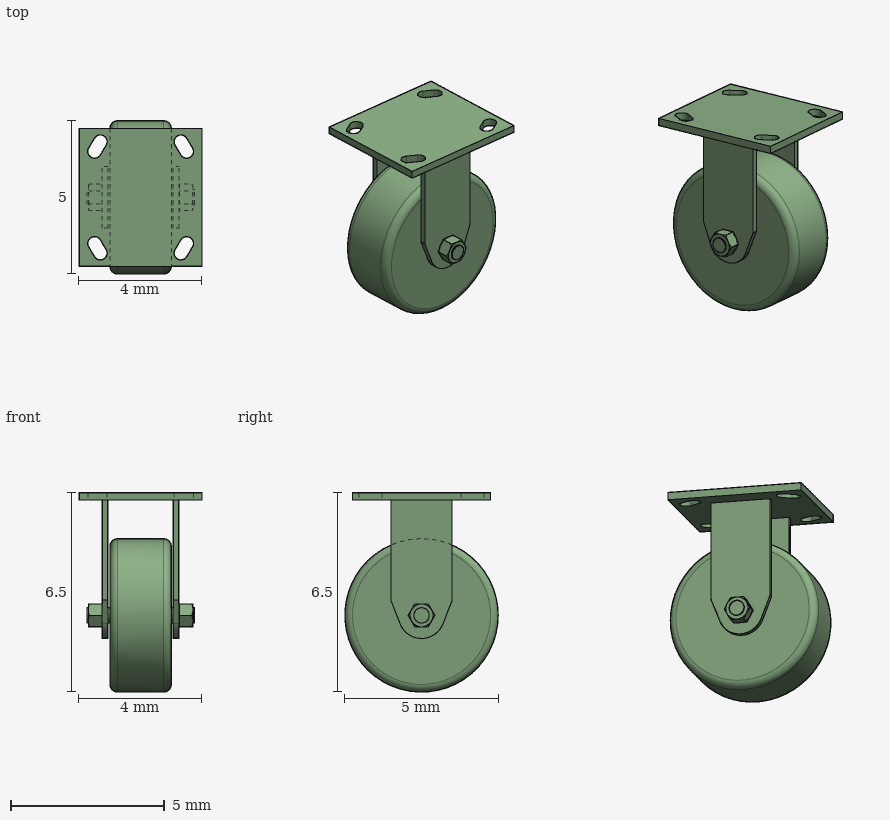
import cadquery as cq
import math


plate_size_x = 4.0
plate_size_y = 4.5
plate_thickness = 0.25
plate_top_z = 4.0
plate_bottom_z = plate_top_z - plate_thickness

slot_width = 0.4375
long_pattern = (2.625, 3.625)
square_pattern = (3.0, 3.0)

wheel_diameter = 5.0
wheel_width = 2.0
wheel_edge_radius = 0.25

leg_outer_span = 2.5
leg_thickness = 0.1875
leg_width = 2.0
leg_tip_radius = 0.75
leg_shoulder_z = 0.5

axle_diameter = 0.5
axle_length = 3.5
nut_across_flats = 0.75
nut_thickness = 0.4375
nut_chamfer_angle = 30.0
washer_face_thickness = 1 / 64


def make_plate():
    plate = cq.Workplane("XY").workplane(offset=plate_bottom_z)
    plate = plate.rect(plate_size_x, plate_size_y).extrude(plate_thickness)
    return plate.cut(make_slots())


def make_slots():
    """Four through slots, mirrored about both plate centerlines."""
    run_x = (long_pattern[0] - square_pattern[0]) / 2
    run_y = (long_pattern[1] - square_pattern[1]) / 2
    center_x = (long_pattern[0] + square_pattern[0]) / 4
    center_y = (long_pattern[1] + square_pattern[1]) / 4
    slot_length = math.hypot(run_x, run_y) + slot_width
    slot_angle = math.degrees(math.atan2(run_y, run_x))
    slot = (
        cq.Workplane("XY")
        .workplane(offset=plate_bottom_z)
        .center(center_x, center_y)
        .slot2D(slot_length, slot_width, slot_angle)
        .extrude(plate_thickness)
    )
    pair = slot.add(slot.mirror("YZ")).combine()
    return pair.add(pair.mirror("XZ")).combine()


def make_wheel():
    wheel = cq.Workplane("YZ").workplane(offset=-wheel_width / 2)
    wheel = wheel.circle(wheel_diameter / 2).extrude(wheel_width)
    return wheel.faces("<X or >X").edges().fillet(wheel_edge_radius)


def make_leg():
    """Leg on the +X side; its sides taper from the shoulders tangent to the round tip."""
    half_width = leg_width / 2
    shoulder_distance = math.hypot(half_width, leg_shoulder_z)
    shoulder_angle = math.atan2(leg_shoulder_z, half_width)
    tangent_angle = shoulder_angle - math.acos(leg_tip_radius / shoulder_distance)
    tangent_y = leg_tip_radius * math.cos(tangent_angle)
    tangent_z = leg_tip_radius * math.sin(tangent_angle)
    return (
        cq.Workplane("YZ")
        .workplane(offset=leg_outer_span / 2 - leg_thickness)
        .moveTo(-half_width, plate_bottom_z)
        .lineTo(-half_width, leg_shoulder_z)
        .lineTo(-tangent_y, tangent_z)
        .threePointArc((0, -leg_tip_radius), (tangent_y, tangent_z))
        .lineTo(half_width, leg_shoulder_z)
        .lineTo(half_width, plate_bottom_z)
        .close()
        .extrude(leg_thickness)
    )


def make_nut():
    """Hex nut on the +X side, flats up and down, with chamfered outer corners and a round washer face."""
    seat_x = leg_outer_span / 2
    inner_x = seat_x + washer_face_thickness
    outer_x = inner_x + nut_thickness
    across_corners = nut_across_flats / math.cos(math.pi / 6)
    hexagon = (
        cq.Workplane("YZ")
        .workplane(offset=inner_x)
        .polygon(6, across_corners)
        .extrude(nut_thickness)
    )
    flat_radius = nut_across_flats / 2
    corner_radius = across_corners / 2
    chamfer_depth = (corner_radius - flat_radius) * math.tan(math.radians(nut_chamfer_angle))
    envelope = (
        cq.Workplane("XY")
        .moveTo(inner_x, 0)
        .lineTo(inner_x, corner_radius)
        .lineTo(outer_x - chamfer_depth, corner_radius)
        .lineTo(outer_x, flat_radius)
        .lineTo(outer_x, 0)
        .close()
        .revolve(360, (0, 0, 0), (1, 0, 0))
    )
    washer_face = (
        cq.Workplane("YZ")
        .workplane(offset=seat_x)
        .circle(flat_radius)
        .extrude(washer_face_thickness)
    )
    return hexagon.intersect(envelope).union(washer_face)


def make_axle():
    axle = cq.Workplane("YZ").workplane(offset=-axle_length / 2)
    return axle.circle(axle_diameter / 2).extrude(axle_length)


result = make_plate().union(make_wheel()).union(make_axle())
for side_part in (make_leg(), make_nut()):
    result = result.union(side_part).union(side_part.mirror("YZ"))